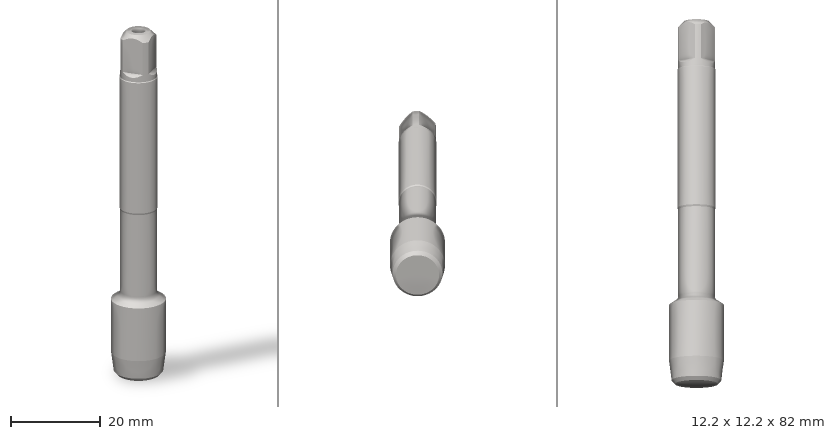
import cadquery as cq
import math

TOTAL_LENGTH = 82.0

HEAD_DIAMETER = 12.2
HEAD_TOP = 17.9
TAPER_TOP = 5.25
TAPER_END_DIAMETER = 11.1
TIP_DIAMETER = 9.6
TIP_HEIGHT = 0.8

NECK_DIAMETER = 8.2
SHANK_DIAMETER = 8.5
SHANK_BOTTOM = 39.45
SHANK_CONE_HEIGHT = 0.4
SHANK_TOP = 71.25
SHANK_TOP_CHAMFER = 0.2
SHOULDER_ANGLE = math.radians(33)
SHOULDER_FILLET = 1.15

SQUARE_WIDTH = 6.7
SQUARE_BOTTOM = 73.0
END_FACE_DIAMETER = 5.4

HOLE_DIAMETER = 2.0
HOLE_DEPTH = 3.3
COUNTERSINK_DIAMETER = 3.1
COUNTERSINK_ANGLE = math.radians(60)
HOLE_TIP_ANGLE = math.radians(118)


def revolve_profile(profile):
    """Revolve a closed radius-height profile around Z."""
    return profile.close().revolve(360, (0, 0, 0), (0, 1, 0))


def make_head():
    head_radius = HEAD_DIAMETER / 2
    return revolve_profile(
        cq.Workplane("XZ")
        .lineTo(TIP_DIAMETER / 2, 0)
        .lineTo(TAPER_END_DIAMETER / 2, TIP_HEIGHT)
        .lineTo(head_radius, TAPER_TOP)
        .lineTo(head_radius, HEAD_TOP)
        .lineTo(0, HEAD_TOP)
    )


def make_turned_shank():
    """Shoulder cone, neck, shank and the round blank of the square drive."""
    head_radius = HEAD_DIAMETER / 2
    neck_radius = NECK_DIAMETER / 2
    shank_radius = SHANK_DIAMETER / 2
    end_radius = END_FACE_DIAMETER / 2
    end_chamfer = neck_radius - end_radius

    corner_height = HEAD_TOP + (head_radius - neck_radius) * math.tan(SHOULDER_ANGLE)
    tangent_length = SHOULDER_FILLET * math.tan((math.pi / 2 - SHOULDER_ANGLE) / 2)
    fillet_start = (
        neck_radius + tangent_length * math.cos(SHOULDER_ANGLE),
        corner_height - tangent_length * math.sin(SHOULDER_ANGLE),
    )
    fillet_end = (neck_radius, corner_height + tangent_length)

    return revolve_profile(
        cq.Workplane("XZ")
        .moveTo(0, HEAD_TOP)
        .lineTo(head_radius, HEAD_TOP)
        .lineTo(*fillet_start)
        .tangentArcPoint(fillet_end, relative=False)
        .lineTo(neck_radius, SHANK_BOTTOM)
        .lineTo(shank_radius, SHANK_BOTTOM + SHANK_CONE_HEIGHT)
        .lineTo(shank_radius, SHANK_TOP - SHANK_TOP_CHAMFER)
        .lineTo(shank_radius - SHANK_TOP_CHAMFER, SHANK_TOP)
        .lineTo(neck_radius, TOTAL_LENGTH - end_chamfer)
        .lineTo(end_radius, TOTAL_LENGTH)
        .lineTo(0, TOTAL_LENGTH)
    )


def make_flat_cutter():
    """Cutter for the +X flat, with a 45 degree run-out at its lower end."""
    inner = SQUARE_WIDTH / 2
    outer = SHANK_DIAMETER / 2
    return (
        cq.Workplane("XZ")
        .moveTo(inner, SQUARE_BOTTOM)
        .lineTo(outer, SQUARE_BOTTOM - (outer - inner))
        .lineTo(outer, TOTAL_LENGTH)
        .lineTo(inner, TOTAL_LENGTH)
        .close()
        .extrude(SHANK_DIAMETER / 2, both=True)
    )


def make_centre_hole():
    """Countersunk blind hole with a drill-point bottom."""
    hole_radius = HOLE_DIAMETER / 2
    sink_radius = COUNTERSINK_DIAMETER / 2
    sink_depth = (sink_radius - hole_radius) / math.tan(COUNTERSINK_ANGLE / 2)
    point_depth = hole_radius / math.tan(HOLE_TIP_ANGLE / 2)
    hole_bottom = TOTAL_LENGTH - HOLE_DEPTH
    return revolve_profile(
        cq.Workplane("XZ")
        .moveTo(0, TOTAL_LENGTH)
        .lineTo(sink_radius, TOTAL_LENGTH)
        .lineTo(hole_radius, TOTAL_LENGTH - sink_depth)
        .lineTo(hole_radius, hole_bottom)
        .lineTo(0, hole_bottom - point_depth)
    )


def make_shank():
    shank = make_turned_shank()
    flat_cutter = make_flat_cutter()
    for angle in (0, 90, 180, 270):
        shank = shank.cut(flat_cutter.rotate((0, 0, 0), (0, 0, 1), angle))
    return shank.cut(make_centre_hole()).solids()


head = make_head()
shank = make_shank()
result = cq.Compound.makeCompound([head.val(), shank.val()])